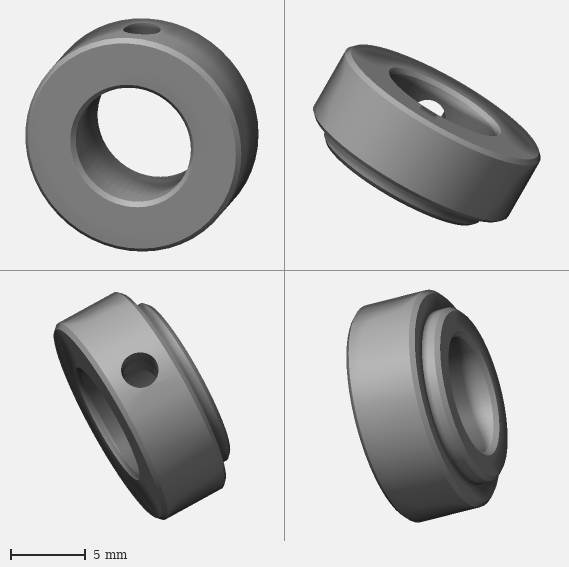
import cadquery as cq

outer_diameter = 15.0
hub_diameter = 12.0
bore_diameter = 8.0
total_width = 6.2
hub_width = 1.2
edge_chamfer = 0.3
screw_hole_diameter = 2.5

body_width = total_width - hub_width


def cylinder_along_y(diameter, start, length):
    """Solid cylinder on the Y axis, from y = start towards +Y."""
    base = cq.Workplane("XZ", origin=(0, start, 0))
    return base.circle(diameter / 2).extrude(-length)


body = cylinder_along_y(outer_diameter, 0, body_width).edges().chamfer(edge_chamfer)

hub = cylinder_along_y(hub_diameter, body_width, hub_width).faces(">Y").edges().chamfer(edge_chamfer)

collar = body.union(hub).cut(cylinder_along_y(bore_diameter, 0, total_width))
bore_edges = collar.faces("<Y or >Y").edges(cq.selectors.RadiusNthSelector(0))
collar = bore_edges.chamfer(edge_chamfer)

screw_hole = (
    cq.Workplane("XY", origin=(0, body_width / 2, 0))
    .circle(screw_hole_diameter / 2)
    .extrude(outer_diameter / 2)
)

result = collar.cut(screw_hole)